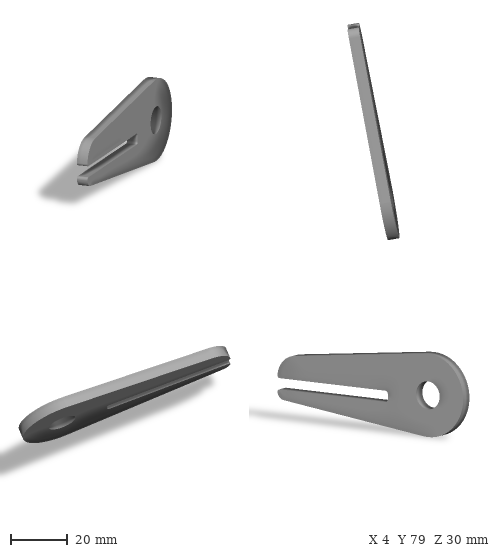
import cadquery as cq
import math

length = 79.0
thickness = 4.0
head_diameter = 30.0
hole_diameter = 10.0
tip_half_height = 7.6

slot_depth = 46.9
slot_top = -0.15
slot_width = 4.0

upper_tip_radius = 8.0
lower_tip_radius = 3.0
slot_corner_radius = 0.95

pick_margin = 0.1

head_radius = head_diameter / 2
tip_y = head_radius - length


def flank_tangent_point():
    """Point (y, z) where the upper straight flank leaves the head circle."""
    tip_distance = math.hypot(tip_y, tip_half_height)
    tip_angle = math.atan2(tip_half_height, tip_y)
    tangent_angle = tip_angle - math.acos(head_radius / tip_distance)
    return head_radius * math.cos(tangent_angle), head_radius * math.sin(tangent_angle)


def make_blade():
    """Tapered plate with a round head and rounded outer tip corners."""
    tangent_y, tangent_z = flank_tangent_point()
    blade = (
        cq.Workplane("YZ")
        .moveTo(tip_y, tip_half_height)
        .lineTo(tangent_y, tangent_z)
        .threePointArc((head_radius, 0), (tangent_y, -tangent_z))
        .lineTo(tip_y, -tip_half_height)
        .close()
        .extrude(thickness / 2, both=True)
    )
    lower_corner = cq.selectors.NearestToPointSelector((0, tip_y, -tip_half_height))
    upper_corner = cq.selectors.NearestToPointSelector((0, tip_y, tip_half_height))
    blade = blade.edges("|X").edges(upper_corner).fillet(upper_tip_radius)
    return blade.edges("|X").edges(lower_corner).fillet(lower_tip_radius)


def slot_box():
    """Block that fills the slot from its closed end to the tip."""
    return cq.Workplane("XY").box(thickness, slot_depth, slot_width).translate(
        (0, tip_y + slot_depth / 2, slot_top - slot_width / 2)
    )


def cut_slot(blade):
    """Open the slot, then round its closed end and its mouth."""
    slot_edges = cq.selectors.BoxSelector(
        (-thickness, tip_y - pick_margin, slot_top - slot_width - pick_margin),
        (thickness, tip_y + slot_depth + pick_margin, slot_top + pick_margin),
    )
    return blade.cut(slot_box()).edges("|X").edges(slot_edges).fillet(slot_corner_radius)


def make_hole():
    """Pin through the full thickness at the head centre."""
    return cq.Workplane("YZ").circle(hole_diameter / 2).extrude(thickness / 2, both=True)


result = cut_slot(make_blade()).cut(make_hole())